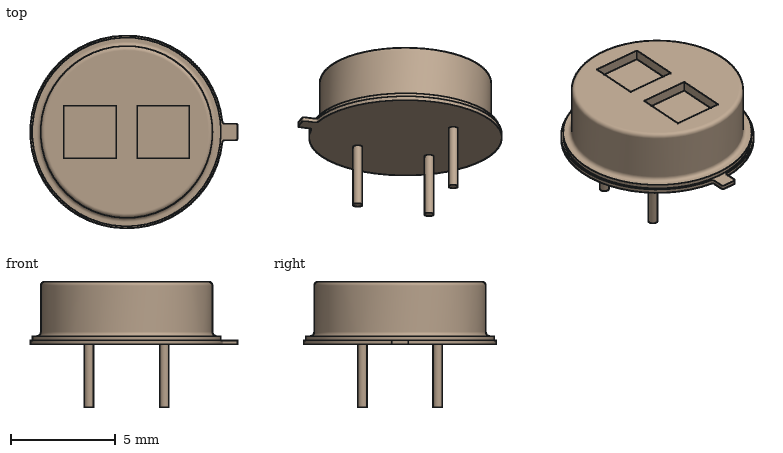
import cadquery as cq
import math

rim_radius = 4.6
step_radius = 4.5
rim_thickness = 0.2
step_thickness = 0.2
flange_top = rim_thickness + step_thickness

cap_radius = 4.1
body_height = 3.0
cap_blend_radius = 0.2

tab_tip_x = 5.3
tab_width = 0.8
tab_blend_radius = 0.1

window_side = 2.5
window_gap = 1.0
window_depth = 0.5
window_spacing = window_side + window_gap

lead_diameter = 0.45
lead_length = 3.0
lead_circle_diameter = 5.08
lead_angles = (135, 225, 315)


def make_rim():
    """Lower flange disc with its rounded tab."""
    disc = cq.Workplane("XY").circle(rim_radius).extrude(rim_thickness)
    tab = (
        cq.Workplane("XY")
        .rect(tab_tip_x, tab_width)
        .extrude(rim_thickness)
        .translate((tab_tip_x / 2, 0, 0))
        .edges("|Z and >X")
        .fillet(tab_blend_radius)
    )
    root_x = math.sqrt(rim_radius**2 - (tab_width / 2) ** 2)
    root_size = tab_blend_radius
    root_edges = cq.selectors.BoxSelector(
        (root_x - root_size, -tab_width, -root_size),
        (root_x + root_size, tab_width, rim_thickness + root_size),
    )
    return disc.union(tab).edges("|Z").edges(root_edges).fillet(tab_blend_radius)


def make_cap():
    """Upper flange step and cap, revolved as one profile."""
    diagonal = cap_blend_radius * math.sqrt(0.5)
    foot_radius = cap_radius + cap_blend_radius
    foot_top = flange_top + cap_blend_radius
    top_face_radius = cap_radius - cap_blend_radius
    shoulder = body_height - cap_blend_radius
    profile = (
        cq.Workplane("XZ")
        .lineTo(step_radius, 0)
        .lineTo(step_radius, flange_top)
        .lineTo(foot_radius, flange_top)
        .threePointArc((foot_radius - diagonal, foot_top - diagonal), (cap_radius, foot_top))
        .lineTo(cap_radius, shoulder)
        .threePointArc(
            (top_face_radius + diagonal, shoulder + diagonal),
            (top_face_radius, body_height),
        )
        .lineTo(0, body_height)
        .close()
    )
    return profile.revolve(360, (0, 0, 0), (0, 1, 0))


def make_windows():
    """Square recesses side by side along X."""
    return (
        cq.Workplane("XY")
        .workplane(offset=body_height)
        .rarray(window_spacing, 1, 2, 1)
        .rect(window_side, window_side)
        .extrude(-window_depth)
    )


def make_leads():
    """Round leads hanging from the base; they run up through the rim to join it."""
    lead_circle_radius = lead_circle_diameter / 2
    places = []
    for angle in lead_angles:
        turn = math.radians(angle)
        places.append((lead_circle_radius * math.cos(turn), lead_circle_radius * math.sin(turn)))
    return (
        cq.Workplane("XY")
        .workplane(offset=-lead_length)
        .pushPoints(places)
        .circle(lead_diameter / 2)
        .extrude(lead_length + rim_thickness)
    )


result = make_rim().union(make_cap()).cut(make_windows()).union(make_leads())